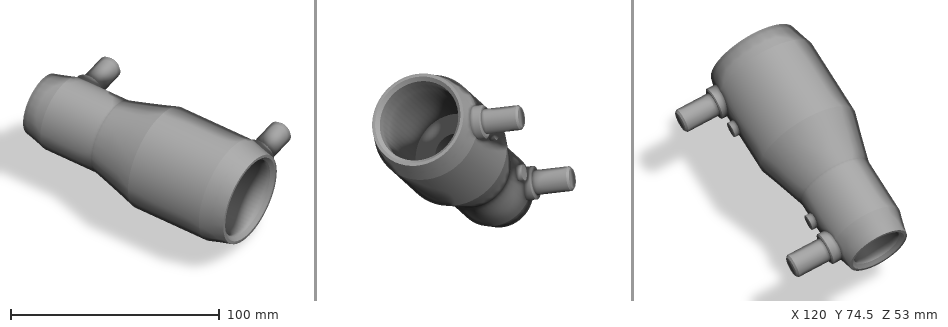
import cadquery as cq
import math


LENGTH = 120.0
SMALL_RADIUS = 19.0
LARGE_RADIUS = 26.5
CONE_START = 41.3
CONE_END = 67.3
TAPER_LENGTH = 12.0
TAPER_ANGLE = 15.0
TAPER_DROP = TAPER_LENGTH * math.tan(math.radians(TAPER_ANGLE))

SMALL_SOCKET_RADIUS = 12.5
WALL = SMALL_RADIUS - SMALL_SOCKET_RADIUS
LARGE_SOCKET_RADIUS = LARGE_RADIUS - WALL
PASSAGE_RADIUS = 10.0
MOUTH_CHAMFER = 1.75

TERMINAL_INSET = 13.5
COLLAR_RADIUS = 8.1
COLLAR_RISE = 3.2
COLLAR_EDGE_HEIGHT = 0.5
COLLAR_EDGE_INSET = 0.9
PIN_RADIUS = 6.0
PIN_LENGTH = 18.3
PIN_CHAMFER = 1.0

BUTTON_INSET = 29.5
BUTTON_RADIUS = 3.9
BUTTON_RISE = 2.7

ROOT_DEPTH = 4.0


def revolve_about_x(outline):
    """Full revolution of a closed (X, radius) outline."""
    return cq.Workplane("XY").polyline(outline).close().revolve(axisStart=(0, 0, 0), axisEnd=(1, 0, 0))


def make_body():
    outline = [
        (0, 0),
        (0, SMALL_RADIUS - TAPER_DROP),
        (TAPER_LENGTH, SMALL_RADIUS),
        (CONE_START, SMALL_RADIUS),
        (CONE_END, LARGE_RADIUS),
        (LENGTH - TAPER_LENGTH, LARGE_RADIUS),
        (LENGTH, LARGE_RADIUS - TAPER_DROP),
        (LENGTH, 0),
    ]
    return revolve_about_x(outline)


def make_bore():
    outline = [
        (0, 0),
        (0, SMALL_SOCKET_RADIUS + MOUTH_CHAMFER),
        (MOUTH_CHAMFER, SMALL_SOCKET_RADIUS),
        (CONE_START, SMALL_SOCKET_RADIUS),
        (CONE_START, PASSAGE_RADIUS),
        (CONE_END, PASSAGE_RADIUS),
        (CONE_END, LARGE_SOCKET_RADIUS),
        (LENGTH - MOUTH_CHAMFER, LARGE_SOCKET_RADIUS),
        (LENGTH, LARGE_SOCKET_RADIUS + MOUTH_CHAMFER),
        (LENGTH, 0),
    ]
    return revolve_about_x(outline)


def make_post(x, radius, bottom, top):
    """Round post at the given X, running along +Y from bottom to top."""
    return cq.Workplane("XZ", origin=(x, bottom, 0)).circle(radius).extrude(bottom - top)


def make_terminal(x, barrel_radius):
    collar_top = barrel_radius + COLLAR_RISE
    collar = make_post(x, COLLAR_RADIUS, barrel_radius - ROOT_DEPTH, collar_top)
    collar = collar.faces(">Y").chamfer(COLLAR_EDGE_HEIGHT, COLLAR_EDGE_INSET)
    pin = make_post(x, PIN_RADIUS, barrel_radius, collar_top + PIN_LENGTH)
    pin = pin.faces(">Y").chamfer(PIN_CHAMFER)
    return collar.union(pin)


def make_button(x, barrel_radius):
    return make_post(x, BUTTON_RADIUS, barrel_radius - ROOT_DEPTH, barrel_radius + BUTTON_RISE)


result = make_body().cut(make_bore())
for end_x, inward, barrel_radius in ((0, 1, SMALL_RADIUS), (LENGTH, -1, LARGE_RADIUS)):
    result = result.union(make_terminal(end_x + inward * TERMINAL_INSET, barrel_radius))
    result = result.union(make_button(end_x + inward * BUTTON_INSET, barrel_radius))